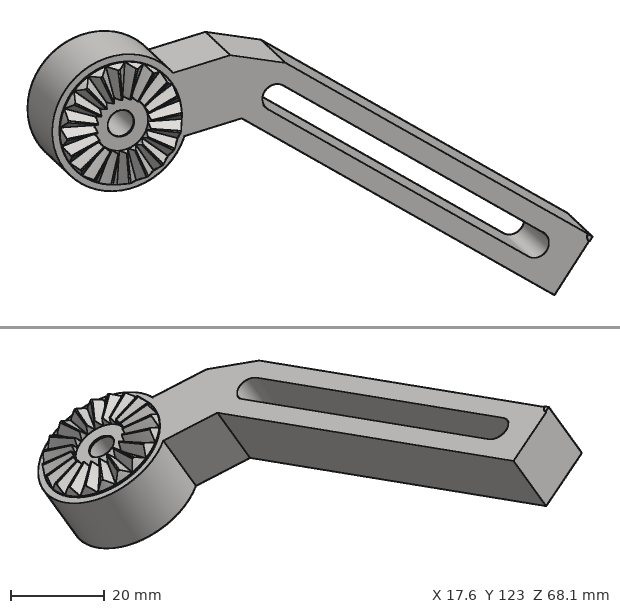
import cadquery as cq
import math

overall_length = 123.0
thickness = 15.0
bar_width = 15.0
hub_radius = 15.5
bore_diameter = 6.0
neck_angle = 10.0
arm_angle = -35.0
arm_inner_length = 87.0
arm_outer_length = 85.3
slot_width = 6.0
slot_end_margin = 10.5
slot_centre_distance = 72.3
corner_pad_radius = 1.2
corner_pad_height = 0.2

disc_base_diameter = 27.8
disc_tip_diameter = 26.3
disc_height = 2.6
disc_base_height = 0.43
tooth_height = disc_height - disc_base_height
tooth_ring_inner_diameter = 12.3
tooth_count = 20
tooth_tip_angle = 2.0
groove_overrun = 0.1
first_groove_angle = -3.6


def step(start, angle, distance):
    """The (Y, Z) point at a distance from start, in a direction measured from +Y towards +Z."""
    turn = math.radians(angle)
    return (start[0] + distance * math.cos(turn), start[1] + distance * math.sin(turn))


end_corner_reach = overall_length - hub_radius
neck_length = (
    end_corner_reach
    - arm_inner_length * math.cos(math.radians(arm_angle))
    + bar_width * math.sin(math.radians(arm_angle))
    - bar_width / 2 * math.sin(math.radians(neck_angle))
) / math.cos(math.radians(neck_angle))

hub_centre = (0.0, 0.0)
neck_under_root = step(hub_centre, neck_angle - 90, bar_width / 2)
neck_top_root = step(hub_centre, neck_angle + 90, bar_width / 2)
elbow_inner = step(neck_under_root, neck_angle, neck_length)
elbow_neck_top = step(neck_top_root, neck_angle, neck_length)
arm_end_under = step(elbow_inner, arm_angle, arm_inner_length)
arm_end_top = step(arm_end_under, arm_angle + 90, bar_width)
elbow_arm_top = step(arm_end_top, arm_angle + 180, arm_outer_length)


def make_bar():
    """The neck and arm, with a flat across the outside of the elbow."""
    outline = [
        neck_under_root, elbow_inner, arm_end_under, arm_end_top,
        elbow_arm_top, elbow_neck_top, neck_top_root,
    ]
    return cq.Workplane("YZ").polyline(outline).close().extrude(thickness)


def make_slot():
    """Cutter for the long slot on the centre line of the arm."""
    arm_end_middle = step(arm_end_under, arm_angle + 90, bar_width / 2)
    slot_middle = step(arm_end_middle, arm_angle + 180, slot_end_margin + slot_centre_distance / 2)
    return (
        cq.Workplane("YZ")
        .center(*slot_middle)
        .slot2D(slot_centre_distance + slot_width, slot_width, arm_angle)
        .extrude(thickness)
    )


def make_corner_pad():
    """Low quarter-round pad on the +X face, in the top corner of the free end."""
    along_top = step(arm_end_top, arm_angle + 180, corner_pad_radius)
    arc_middle = step(arm_end_top, arm_angle - 135, corner_pad_radius)
    along_end = step(arm_end_top, arm_angle - 90, corner_pad_radius)
    return (
        cq.Workplane("YZ", origin=(thickness, 0, 0))
        .moveTo(*arm_end_top)
        .lineTo(*along_top)
        .threePointArc(arc_middle, along_end)
        .close()
        .extrude(corner_pad_height)
    )


def make_bracket():
    hub = cq.Workplane("YZ").circle(hub_radius).extrude(thickness)
    bore = cq.Workplane("YZ").circle(bore_diameter / 2).extrude(thickness)
    return hub.union(make_bar()).cut(bore).cut(make_slot()).union(make_corner_pad())


def make_groove(angle):
    """Cutter for one V groove: constant depth, widening with distance from the hub axis."""
    tip_face = thickness + disc_height
    half_angle = (360 / tooth_count - tooth_tip_angle) / 2
    start_radius = (1 - groove_overrun) * tooth_ring_inner_diameter / 2
    end_radius = (1 + groove_overrun) * disc_base_diameter / 2

    def section(radius):
        half_width = radius * math.tan(math.radians(half_angle))
        return cq.Wire.makePolygon(
            [
                cq.Vector(tip_face, -radius, -half_width),
                cq.Vector(tip_face - tooth_height, -radius, 0),
                cq.Vector(tip_face, -radius, half_width),
            ],
            close=True,
        )

    groove = cq.Solid.makeLoft([section(start_radius), section(end_radius)], ruled=True)
    return groove.rotate(cq.Vector(0, 0, 0), cq.Vector(1, 0, 0), angle)


def make_toothed_disc():
    """Round disc whose tapered upper part is cut into a ring of radial teeth."""
    base = (
        cq.Workplane("YZ", origin=(thickness, 0, 0))
        .circle(disc_base_diameter / 2)
        .extrude(disc_base_height)
    )
    tooth_blank = (
        base.faces(">X").workplane()
        .circle(disc_base_diameter / 2)
        .workplane(offset=tooth_height)
        .circle(disc_tip_diameter / 2)
        .loft(ruled=True)
    )
    bore = (
        cq.Workplane("YZ", origin=(thickness, 0, 0))
        .circle(bore_diameter / 2)
        .extrude(disc_height)
    )
    recess = (
        cq.Workplane("YZ", origin=(thickness + disc_base_height, 0, 0))
        .circle(tooth_ring_inner_diameter / 2)
        .extrude(tooth_height)
    )
    disc = tooth_blank.cut(bore).cut(recess)
    for index in range(tooth_count):
        disc = disc.cut(cq.Workplane(make_groove(first_groove_angle + index * 360 / tooth_count)))
    return disc


bracket = make_bracket()
toothed_disc = make_toothed_disc()

result = cq.Compound.makeCompound([bracket.val(), toothed_disc.val()])